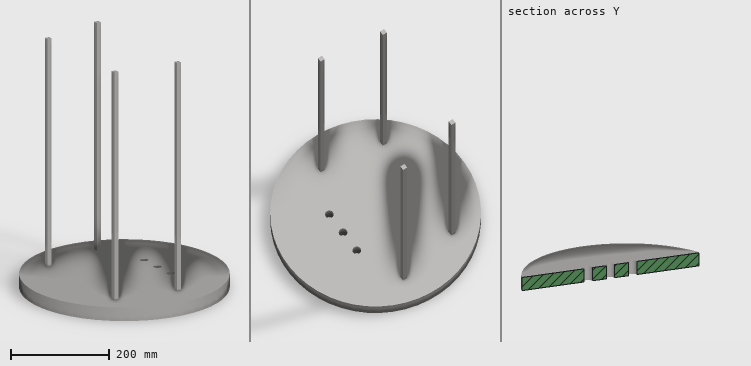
import cadquery as cq

total_height = 520.0
disc_diameter = 430.0
disc_thickness = 29.0
rod_side = 10.0
hole_diameter = 17.5
hole_pitch = 50.0
hole_row_y = 80.0

front_rod_x = 125.0
front_rod_y = -104.0
rear_rod_y = 35.5
rear_left_rod_x = -155.0
rear_right_rod_x = 145.0
rod_centres = [
    (-front_rod_x, front_rod_y),
    (front_rod_x, front_rod_y),
    (rear_left_rod_x, rear_rod_y),
    (rear_right_rod_x, rear_rod_y),
]

hole_centres = [(step * hole_pitch, hole_row_y) for step in (-1, 0, 1)]


def make_disc():
    """Round base plate with its underside at Z = 0."""
    disc = cq.Workplane("XY").circle(disc_diameter / 2).extrude(disc_thickness)
    return disc.faces(">Z").workplane().pushPoints(hole_centres).hole(hole_diameter)


def make_rods():
    """Square rods standing on top of the disc."""
    rod_length = total_height - disc_thickness
    top_plane = cq.Workplane("XY").workplane(offset=disc_thickness)
    return top_plane.pushPoints(rod_centres).rect(rod_side, rod_side).extrude(rod_length)


result = make_disc().union(make_rods())